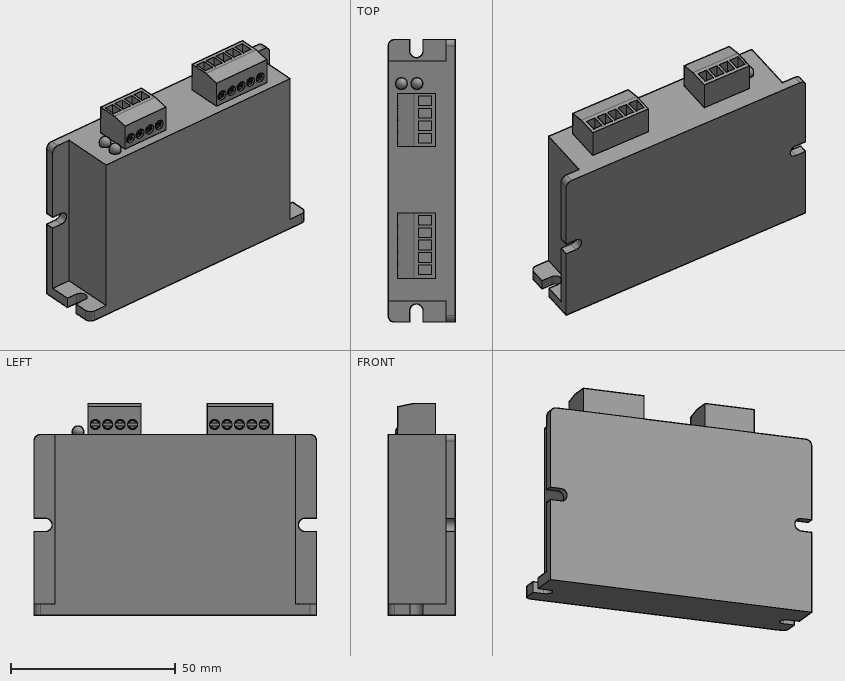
import cadquery as cq

length = 86.0
thickness = 20.5
housing_height = 55.0
body_length = 73.0
back_flange = 2.9
bottom_flange = 3.4
corner_radius = 2.0

slot_width = 3.95
slot_depth = 5.5
bottom_slot_x = 8.6
back_slot_z = housing_height / 2

overall_height = 64.5
block_x = 2.9
block_width = 11.5
block_slope_width = 5.0
block_slope_drop = 1.0
pole_pitch = 3.8
block_end_margin = 4.8
pole_offset = 0.2
blocks = ((4, 18.5), (5, -19.7))

pocket_x = 9.2
pocket_width = 3.95
pocket_length = 2.9
pocket_depth = 5.0

screw_hole_diameter = 3.0
screw_diameter = 2.5
screw_sink = 0.5
screw_head_height = 0.5
screw_slot_width = 0.8
screw_slot_depth = 0.5
screw_height = 3.0

lamp_y = 29.6
lamp_xs = (4.0, 8.8)
lamp_base_diameter = 3.5
lamp_dome_radius = 1.8
lamp_dome_height = 0.8


def box(x_size, y_size, z_size, x, y, z):
    """Box starting at x and z, and centred on y."""
    return cq.Workplane("XY").box(x_size, y_size, z_size, centered=(False, True, False)).translate((x, y, z))


def mounting_slot(plane, end):
    """Round-ended slot cutter, long enough for either flange, opening at the +Y (1) or -Y (-1) end."""
    radius = slot_width / 2
    open_end = end * length / 2
    arc_start = end * (length / 2 - slot_depth + radius)
    arc_tip = end * (length / 2 - slot_depth)
    return (
        plane.moveTo(-radius, open_end)
        .lineTo(-radius, arc_start)
        .threePointArc((0, arc_tip), (radius, arc_start))
        .lineTo(radius, open_end)
        .close()
        .extrude(bottom_flange, both=True)
    )


def make_housing():
    body = box(thickness, body_length, housing_height, 0, 0, 0)
    bottom = box(thickness, length, bottom_flange, 0, 0, 0).edges("|Z and <X").fillet(corner_radius)
    back = box(back_flange, length, housing_height, thickness - back_flange, 0, 0)
    back = back.edges("|X and >Z").fillet(corner_radius)
    housing = body.union(bottom).union(back)

    bottom_plane = cq.Workplane("XY", origin=(bottom_slot_x, 0, 0))
    back_plane = cq.Workplane(cq.Plane(origin=(thickness, 0, back_slot_z), xDir=(0, 0, -1), normal=(1, 0, 0)))
    for end in (1, -1):
        housing = housing.cut(mounting_slot(bottom_plane, end))
        housing = housing.cut(mounting_slot(back_plane, end))
    return housing


def screw_cutter(y):
    """Hole around a sunk screw head, plus the driver slot across the head along Y."""
    side = cq.Workplane("YZ", origin=(block_x, y, housing_height + screw_height))
    head_face = side.workplane(offset=screw_sink)
    hole = side.circle(screw_hole_diameter / 2).extrude(screw_sink + screw_head_height)
    head = head_face.circle(screw_diameter / 2).extrude(screw_head_height)
    slot = head_face.rect(screw_diameter, screw_slot_width).extrude(screw_slot_depth)
    return hole.cut(head).union(slot)


def make_block(poles, center_y):
    pole_span = (poles - 1) * pole_pitch
    block_length = pole_span + block_end_margin
    block = (
        cq.Workplane("XZ", origin=(0, center_y, 0))
        .moveTo(block_x, housing_height)
        .lineTo(block_x, overall_height - block_slope_drop)
        .lineTo(block_x + block_slope_width, overall_height)
        .lineTo(block_x + block_width, overall_height)
        .lineTo(block_x + block_width, housing_height)
        .close()
        .extrude(block_length / 2, both=True)
    )
    for pole in range(poles):
        y = center_y + pole_offset + pole_span / 2 - pole * pole_pitch
        pocket = box(pocket_width, pocket_length, pocket_depth, pocket_x, y, overall_height - pocket_depth)
        block = block.cut(pocket).cut(screw_cutter(y))
    return block


def make_lamp(x):
    base = cq.Workplane("XY", origin=(x, lamp_y, housing_height))
    base = base.circle(lamp_base_diameter / 2).extrude(lamp_dome_height)
    ball = cq.Workplane("XY").sphere(lamp_dome_radius).translate((x, lamp_y, housing_height + lamp_dome_height))
    return base.union(ball)


result = make_housing()
for pole_count, block_y in blocks:
    result = result.union(make_block(pole_count, block_y))
for lamp_x in lamp_xs:
    result = result.union(make_lamp(lamp_x))